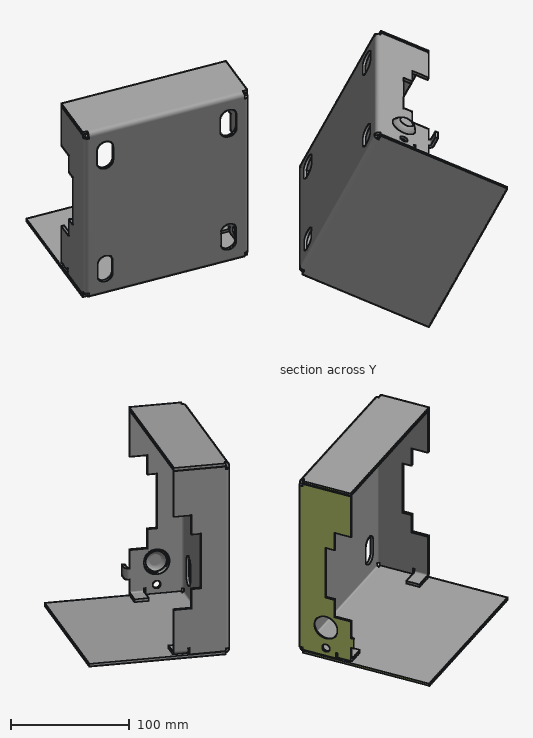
import cadquery as cq
import math

length = 122.5
width = 151.0
height = 171.5

sheet = 2.5
bend_inner = 1.45
bend_outer = bend_inner + sheet

rim_x = 73.4
bend_start_x = length - bend_outer

wall_gap = 0.43
wall_bottom = sheet + wall_gap
wall_top = height - wall_bottom
corner_relief = 5.3

mid_z = height / 2
outer_step_x = 88.8
outer_step_half = 41.8
inner_step_x = 97.0
inner_step_half = 24.5

foot_end_x = 85.7
foot_length = 18.5
slit_width = 1.5
slit_top = 8.4

tab_tip_y = 160.5
tab_bottom = 17.3
tab_height = 10.0

cup_x = 96.7
cup_z = 31.2
cup_rise = 5.0
cup_base_radius = 10.6
cup_top_radius = 6.0
cup_mouth_radius = 11.1
cup_floor_radius = 5.1
cup_lip = 2.0
cup_bulge = 0.6
hole_z = 10.8
hole_diameter = 6.9

slot_offset_y = 56.5
slot_offset_z = 59.0
slot_centre_distance = 12.7
top_slot_width = 15.1
bottom_slot_width = 13.9


def block(x_range, y_range, z_range):
    """Box between the given limits."""
    sizes = [end - start for start, end in (x_range, y_range, z_range)]
    corner = cq.Vector(x_range[0], y_range[0], z_range[0])
    return cq.Workplane(cq.Solid.makeBox(*sizes, pnt=corner))


def bend(centre, first_dir, second_dir, span):
    """Quarter-round bend, centred along its span, bulging towards the two given directions."""
    axis = cq.Vector(*first_dir).cross(cq.Vector(*second_dir))
    diagonal = math.sqrt(0.5)
    return (
        cq.Workplane(cq.Plane(origin=centre, xDir=first_dir, normal=axis))
        .moveTo(bend_outer, 0)
        .threePointArc((bend_outer * diagonal, bend_outer * diagonal), (0, bend_outer))
        .lineTo(0, bend_inner)
        .threePointArc((bend_inner * diagonal, bend_inner * diagonal), (bend_inner, 0))
        .close()
        .extrude(span / 2, both=True)
    )


def back_panel():
    """Back panel with its four slots."""
    panel = block(
        (length - sheet, length),
        (bend_outer, width - bend_outer),
        (bend_outer, height - bend_outer),
    )
    for side, slot_width in ((1, top_slot_width), (-1, bottom_slot_width)):
        slots = (
            cq.Workplane("YZ")
            .pushPoints([
                (width / 2 - slot_offset_y, mid_z + side * slot_offset_z),
                (width / 2 + slot_offset_y, mid_z + side * slot_offset_z),
            ])
            .slot2D(slot_centre_distance + slot_width, slot_width, 90)
            .extrude(length)
        )
        panel = panel.cut(slots)
    return panel


def horizontal_plate(front_x, bottom_z, outward):
    """Top or bottom plate with the bend that joins it to the back panel."""
    plate = block((front_x, bend_start_x), (0, width), (bottom_z, bottom_z + sheet))
    bend_z = bend_outer if outward < 0 else height - bend_outer
    joint = bend(
        (bend_start_x, width / 2, bend_z), (1, 0, 0), (0, 0, outward), width - 2 * bend_outer
    )
    return plate.union(joint)


def side_wall(outward):
    """Side wall with its foot and the bend that joins it to the back panel."""
    outer_y = width if outward > 0 else 0
    bend_y = outer_y - outward * bend_outer
    foot_bend_z = wall_bottom + bend_outer
    outline = [
        (rim_x, foot_bend_z),
        (foot_end_x, foot_bend_z),
        (foot_end_x, slit_top),
        (foot_end_x + slit_width, slit_top),
        (foot_end_x + slit_width, wall_bottom),
        (bend_start_x, wall_bottom),
        (bend_start_x, wall_top),
        (rim_x, wall_top),
        (rim_x, mid_z + outer_step_half),
        (outer_step_x, mid_z + outer_step_half),
        (outer_step_x, mid_z + inner_step_half),
        (inner_step_x, mid_z + inner_step_half),
        (inner_step_x, mid_z - inner_step_half),
        (outer_step_x, mid_z - inner_step_half),
        (outer_step_x, mid_z - outer_step_half),
        (rim_x, mid_z - outer_step_half),
    ]
    wall = (
        cq.Workplane("XZ", origin=(0, outer_y, 0))
        .polyline(outline)
        .close()
        .extrude(outward * sheet)
    )
    joint = bend(
        (bend_start_x, bend_y, mid_z), (1, 0, 0), (0, outward, 0), height - 2 * corner_relief
    )
    foot_bend = bend(
        ((rim_x + foot_end_x) / 2, bend_y, foot_bend_z),
        (0, outward, 0),
        (0, 0, -1),
        foot_end_x - rim_x,
    )
    foot_y = sorted((bend_y, outer_y - outward * foot_length))
    foot = block((rim_x, foot_end_x), foot_y, (wall_bottom, wall_bottom + sheet))
    return wall.union(joint).union(foot_bend).union(foot)


def rim_tab():
    """Tab with the bend that joins it to the rim of the +Y wall."""
    bend_y = width + bend_inner
    tab_x = rim_x - bend_outer
    joint = bend(
        (rim_x, bend_y, tab_bottom + tab_height / 2), (-1, 0, 0), (0, -1, 0), tab_height
    )
    blade = block(
        (tab_x, tab_x + sheet), (bend_y, tab_tip_y), (tab_bottom, tab_bottom + tab_height)
    )
    return joint.union(blade)


def bowed_middle(start, end, bulge):
    """Middle point of an arc from start to end that bows to the right by the given bulge."""
    run = end[0] - start[0]
    rise = end[1] - start[1]
    chord = math.hypot(run, rise)
    return (
        (start[0] + end[0]) / 2 + bulge * rise / chord,
        (start[1] + end[1]) / 2 - bulge * run / chord,
    )


def add_cup(body):
    """Press the cup and drill the small hole in the +Y wall."""
    inner_y = width - sheet
    profile = cq.Workplane("XY", origin=(cup_x, 0, cup_z))

    shell_base = (cup_base_radius, width)
    shell_top = (cup_top_radius, width + cup_rise)
    shell = (
        profile.moveTo(0, width)
        .lineTo(*shell_base)
        .threePointArc(bowed_middle(shell_base, shell_top, cup_bulge), shell_top)
        .lineTo(0, width + cup_rise)
        .close()
        .revolve(360, (0, 0, 0), (0, 1, 0))
    )

    throat = (cup_mouth_radius - cup_lip, inner_y + cup_lip)
    floor_edge = (cup_floor_radius, width + cup_rise - sheet)
    hollow = (
        profile.moveTo(0, inner_y)
        .lineTo(cup_mouth_radius, inner_y)
        .radiusArc(throat, -cup_lip)
        .threePointArc(bowed_middle(throat, floor_edge, cup_bulge), floor_edge)
        .lineTo(0, floor_edge[1])
        .close()
        .revolve(360, (0, 0, 0), (0, 1, 0))
    )

    hole = (
        cq.Workplane("XZ", origin=(cup_x, width, hole_z))
        .circle(hole_diameter / 2)
        .extrude(sheet)
    )
    return body.union(shell).cut(hollow).cut(hole)


result = back_panel()
result = result.union(horizontal_plate(rim_x, height - sheet, 1))
result = result.union(horizontal_plate(0, 0, -1))
result = result.union(side_wall(-1))
result = result.union(side_wall(1))
result = result.union(rim_tab())
result = add_cup(result)